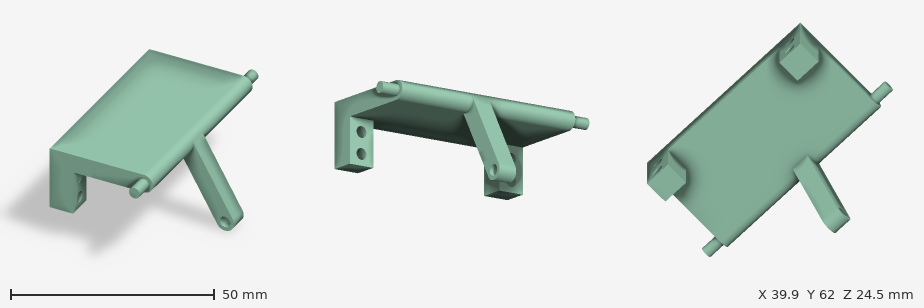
import cadquery as cq
import math

plate_width = 52.0
thickness = 5.0
edge_radius = thickness / 2
pivot_x = 26.15

leg_depth = 6.45
leg_width = 7.05
leg_bottom = -17.0
leg_hole_diameter = 3.0
leg_hole_heights = (-8.45, -14.0)

pin_length = 62.0
pin_diameter = 3.0
arm_length = 22.5
arm_angle = 60.0
arm_width = thickness
arm_front_y = -4.8
arm_hole_diameter = 3.0

pivot_z = -edge_radius


def rod(x, z, diameter, start_y, length):
    """Cylinder running along +Y from start_y."""
    return cq.Workplane("XY").add(
        cq.Solid.makeCylinder(
            diameter / 2, length, cq.Vector(x, start_y, z), cq.Vector(0, 1, 0)
        )
    )


def make_plate():
    slab = cq.Workplane("XY").box(pivot_x, plate_width, thickness, centered=(False, True, False))
    slab = slab.translate((0, 0, -thickness))
    return slab.union(rod(pivot_x, pivot_z, thickness, -plate_width / 2, plate_width))


def make_leg(side):
    """Leg at one end of the plate, with two screw holes along X."""
    center_y = side * (plate_width - leg_width) / 2
    leg = cq.Workplane("XY").box(leg_depth, leg_width, -leg_bottom, centered=(False, True, False))
    leg = leg.translate((0, center_y, leg_bottom))
    hole_centers = [(center_y, z) for z in leg_hole_heights]
    holes = cq.Workplane("YZ").pushPoints(hole_centers).circle(leg_hole_diameter / 2).extrude(leg_depth)
    return leg.cut(holes)


def make_arm():
    """Round-ended link sloping down from the pivot, with an eye at its tip."""
    angle = math.radians(arm_angle)
    tip_x = pivot_x + arm_length * math.cos(angle)
    tip_z = pivot_z - arm_length * math.sin(angle)
    arm = (
        cq.Workplane("XZ", origin=(0, arm_front_y, 0))
        .center((pivot_x + tip_x) / 2, (pivot_z + tip_z) / 2)
        .slot2D(arm_length + thickness, thickness, -arm_angle)
        .extrude(-arm_width)
    )
    return arm.cut(rod(tip_x, tip_z, arm_hole_diameter, arm_front_y, arm_width))


result = make_plate()
for side in (-1, 1):
    result = result.union(make_leg(side))
result = result.union(make_arm())
result = result.union(rod(pivot_x, pivot_z, pin_diameter, -pin_length / 2, pin_length))